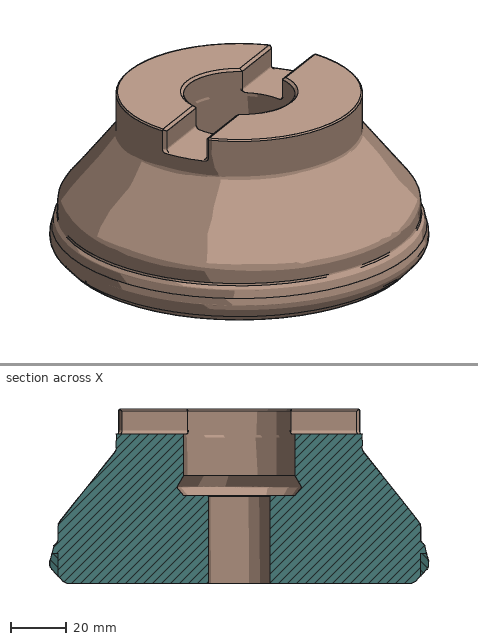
import cadquery as cq
import math

TOTAL_HEIGHT = 63.0

HUB_RADIUS = 89.0 / 2
HUB_BASE_HEIGHT = 48.0
HUB_TOP_CHAMFER = 0.5
HUB_ROOT_FILLET = 1.9
BODY_RADIUS = 131.1 / 2
SHOULDER_HEIGHT = 21.6
SHOULDER_FILLET = 4.4
WALL_FOOT_HEIGHT = 15.3
FLARE_RADIUS = 67
FLARE_HEIGHT = 13.8

RIM_RADIUS = 68.4
BAND_TOP_HEIGHT = 8.2
BAND_FOOT_HEIGHT = 6.3
BEVEL_TOP_RADIUS = 67.8
BEVEL_TOP_HEIGHT = 5.2
BEVEL_FOOT_RADIUS = 63.7
BEVEL_FOOT_HEIGHT = 0.8
BOTTOM_RADIUS = 62.2
CORNER_FILLET = 1.1

SEAT_RADIUS = BODY_RADIUS
SEAT_HEIGHT = 10.8
ENVELOPE_MARGIN = 1.4

UPPER_BORE_RADIUS = 40.2 / 2
LOWER_BORE_RADIUS = 40.0 / 2
BORE_STEP_DEPTH = 9.5
BORE_STEP_LENGTH = 1.0
BORE_CHAMFER_WIDTH = 1.1
TOP_CHAMFER_HEIGHT = 0.8
RELIEF_DEPTH = 24.0
RELIEF_UPPER_LENGTH = 4.2
RELIEF_UPPER_ANGLE = 30
RELIEF_LOWER_ANGLE = 40
RELIEF_ROOT_FILLET = 0.4
RELIEF_WIDENING = RELIEF_UPPER_LENGTH * math.tan(math.radians(RELIEF_UPPER_ANGLE))
RELIEF_RADIUS = LOWER_BORE_RADIUS + RELIEF_WIDENING
RELIEF_LOWER_LENGTH = RELIEF_WIDENING / math.tan(math.radians(RELIEF_LOWER_ANGLE))
HOLE_RADIUS = 22.0 / 2
HOLE_CHAMFER = 0.4

SLOT_WIDTH = 16.1
SLOT_DEPTH = 9.0
SLOT_FLOOR_FILLET = 1.4
SLOT_CHAMFER_WIDTH = 1.2
SLOT_OUTER_BEVEL = 1.2
SLOT_INNER_BEVEL = 0.4


def revolve_profile(points):
    """Turn a closed (radius, height) outline about the Z axis."""
    return cq.Workplane("XZ").polyline(points).close().revolve(360, (0, 0), (0, 1))


def ring_edge(solid, radius, height):
    """Select the outer circular edge that passes through the given point."""
    tolerance = 0.07
    return solid.edges(
        cq.selectors.BoxSelector(
            (-radius - tolerance, -radius - tolerance, height - tolerance),
            (radius + tolerance, radius + tolerance, height + tolerance),
            boundingbox=True,
        )
    ).edges(cq.selectors.RadiusNthSelector(-1))


def make_blank():
    """Full turned outline of both bodies: bottom, rim, flare, wall, long cone and hub."""
    blank = revolve_profile([
        (0, 0),
        (BOTTOM_RADIUS, 0),
        (BEVEL_FOOT_RADIUS, BEVEL_FOOT_HEIGHT),
        (BEVEL_TOP_RADIUS, BEVEL_TOP_HEIGHT),
        (RIM_RADIUS, BAND_FOOT_HEIGHT),
        (RIM_RADIUS, BAND_TOP_HEIGHT),
        (FLARE_RADIUS, FLARE_HEIGHT),
        (BODY_RADIUS, WALL_FOOT_HEIGHT),
        (BODY_RADIUS, SHOULDER_HEIGHT),
        (HUB_RADIUS, HUB_BASE_HEIGHT),
        (HUB_RADIUS, TOTAL_HEIGHT),
        (0, TOTAL_HEIGHT),
    ])
    for radius, height, fillet in [
        (BEVEL_TOP_RADIUS, BEVEL_TOP_HEIGHT, CORNER_FILLET),
        (RIM_RADIUS, BAND_FOOT_HEIGHT, CORNER_FILLET),
        (RIM_RADIUS, BAND_TOP_HEIGHT, CORNER_FILLET),
        (FLARE_RADIUS, FLARE_HEIGHT, CORNER_FILLET),
        (BODY_RADIUS, WALL_FOOT_HEIGHT, CORNER_FILLET),
        (BODY_RADIUS, SHOULDER_HEIGHT, SHOULDER_FILLET),
        (HUB_RADIUS, HUB_BASE_HEIGHT, HUB_ROOT_FILLET),
    ]:
        blank = ring_edge(blank, radius, height).fillet(fillet)
    return ring_edge(blank, HUB_RADIUS, TOTAL_HEIGHT).chamfer(HUB_TOP_CHAMFER)


def make_bore():
    """Stepped bore with a relief groove above its floor and a smaller hole through the bottom."""
    step_height = TOTAL_HEIGHT - BORE_STEP_DEPTH
    relief_top = TOTAL_HEIGHT - RELIEF_DEPTH
    relief_root = relief_top - RELIEF_UPPER_LENGTH
    floor_height = relief_root - RELIEF_LOWER_LENGTH
    bore = revolve_profile([
        (0, 0),
        (HOLE_RADIUS, 0),
        (HOLE_RADIUS, floor_height - HOLE_CHAMFER),
        (HOLE_RADIUS + HOLE_CHAMFER, floor_height),
        (LOWER_BORE_RADIUS, floor_height),
        (RELIEF_RADIUS, relief_root),
        (LOWER_BORE_RADIUS, relief_top),
        (LOWER_BORE_RADIUS, step_height - BORE_STEP_LENGTH),
        (UPPER_BORE_RADIUS, step_height),
        (UPPER_BORE_RADIUS, TOTAL_HEIGHT - TOP_CHAMFER_HEIGHT),
        (UPPER_BORE_RADIUS + BORE_CHAMFER_WIDTH, TOTAL_HEIGHT),
        (0, TOTAL_HEIGHT),
    ])
    return ring_edge(bore, RELIEF_RADIUS, relief_root).fillet(RELIEF_ROOT_FILLET)


def make_slot():
    """Slot across the hub along Y, with bevelled top edges and rounded floor corners."""
    half = SLOT_WIDTH / 2
    floor = TOTAL_HEIGHT - SLOT_DEPTH
    bevel_foot = TOTAL_HEIGHT - TOP_CHAMFER_HEIGHT
    bevel_half = half + SLOT_CHAMFER_WIDTH
    return (
        cq.Workplane("XZ")
        .moveTo(-bevel_half, TOTAL_HEIGHT)
        .lineTo(-half, bevel_foot)
        .lineTo(-half, floor + SLOT_FLOOR_FILLET)
        .radiusArc((-half + SLOT_FLOOR_FILLET, floor), -SLOT_FLOOR_FILLET)
        .lineTo(half - SLOT_FLOOR_FILLET, floor)
        .radiusArc((half, floor + SLOT_FLOOR_FILLET), -SLOT_FLOOR_FILLET)
        .lineTo(half, bevel_foot)
        .lineTo(bevel_half, TOTAL_HEIGHT)
        .close()
        .extrude(BODY_RADIUS, both=True)
    )


def make_slot_bevel(wall_radius, bevel, taper_direction, tail_y):
    """Wedge that bevels both upright slot edges on a round wall, at the +Y half of the slot.

    The wedge is full width from tail_y to the wall, then tapers at 45 degrees to a tip;
    taper_direction is -1 for a tip that points to the axis and 1 for one that points outward.
    """
    edge_x = SLOT_WIDTH / 2 + bevel
    edge_y = math.sqrt(wall_radius**2 - edge_x**2)
    wedge = (
        cq.Workplane("XY", origin=(0, 0, TOTAL_HEIGHT - SLOT_DEPTH))
        .polyline([
            (-edge_x, edge_y),
            (-edge_x, tail_y),
            (edge_x, tail_y),
            (edge_x, edge_y),
            (0, edge_y + taper_direction * edge_x),
        ])
        .close()
        .extrude(SLOT_DEPTH)
    )
    return wedge.faces("<Z").edges("not |X").fillet(SLOT_FLOOR_FILLET)


def make_ring_envelope():
    """Plain tube around the seat, from the bottom face up to the seat shoulder."""
    return (
        cq.Workplane("XY")
        .circle(RIM_RADIUS + ENVELOPE_MARGIN)
        .circle(SEAT_RADIUS)
        .extrude(SEAT_HEIGHT)
    )


def make_mill_body():
    """Mill body with its bore, driving slot and the seat that the cutting ring fits over."""
    body = make_blank().cut(make_bore()).cut(make_slot())
    outer_bevel = make_slot_bevel(HUB_RADIUS, SLOT_OUTER_BEVEL, -1, BODY_RADIUS)
    inner_bevel = make_slot_bevel(UPPER_BORE_RADIUS, SLOT_INNER_BEVEL, 1, 0)
    for angle in (0, 180):
        for bevel in (outer_bevel, inner_bevel):
            body = body.cut(bevel.rotate((0, 0, 0), (0, 0, 1), angle))
    return body.cut(make_ring_envelope())


def make_cutting_ring():
    """Ring that carries the widest part of the outline, cut from the same turned shape."""
    return make_blank().intersect(make_ring_envelope())


mill_body = make_mill_body().solids()
cutting_ring = make_cutting_ring().solids()
result = cq.Compound.makeCompound([mill_body.val(), cutting_ring.val()])